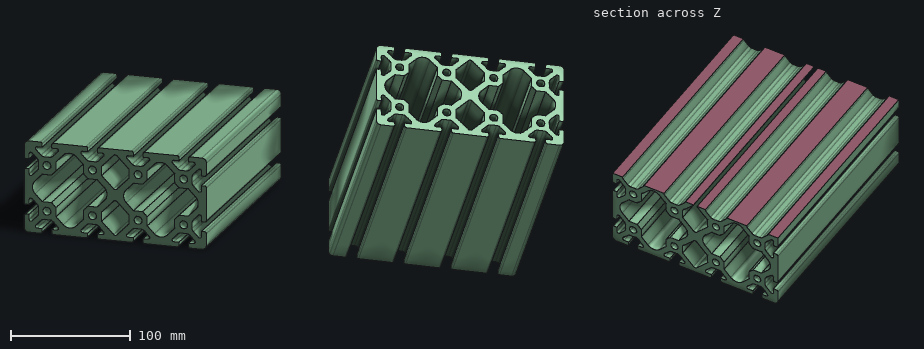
import cadquery as cq
import math

WIDTH = 160.0
LENGTH = 200.0
HEIGHT = 80.0
CORNER_RADIUS = 4.0

PITCH = 40.0
COLUMNS = 4
ROWS = 2
BORE_DIAMETER = 6.8

MOUTH_HALF_WIDTH = 4.2
LIP_THICKNESS = 4.5
SLOT_DEPTH = 12.5
FLOOR_HALF_WIDTH = 4.0
LIP_RADIUS = 1.5
UNDERCUT_RADIUS = 1.5
FLOOR_RADIUS = 4.0
CUT_MARGIN = 2.0

CORE_HALF_WIDTH = 8.0
CORE_FLAT_HALF = 4.0

CAVITY_SPACING = 2 * PITCH
CAVITY_TIP_RADIUS = 8.0
DIAMOND_TIP_RADIUS = 2.0


def rounded_outline(corners):
    """Closed XZ outline through (x, z, radius) corners, each rounded by a tangent arc."""
    arcs = []
    for i, (x, z, radius) in enumerate(corners):
        corner = cq.Vector(x, z)
        before = (cq.Vector(*corners[i - 1][:2]) - corner).normalized()
        after = (cq.Vector(*corners[(i + 1) % len(corners)][:2]) - corner).normalized()
        half_angle = before.getAngle(after) / 2
        tangent_length = radius / math.tan(half_angle)
        apex_distance = radius / math.sin(half_angle) - radius
        arcs.append((
            radius,
            corner + before * tangent_length,
            corner + (before + after).normalized() * apex_distance,
            corner + after * tangent_length,
        ))

    outline = cq.Workplane("XZ").moveTo(*arcs[0][3].toTuple()[:2])
    for radius, start, middle, end in arcs[1:] + arcs[:1]:
        outline = outline.lineTo(*start.toTuple()[:2])
        if radius > 0:
            outline = outline.threePointArc(middle.toTuple()[:2], end.toTuple()[:2])
    return outline.close()


def extrude_along_y(outline):
    return outline.extrude(LENGTH / 2, both=True)


def grid_positions(count, spacing=PITCH):
    return [(i - (count - 1) / 2) * spacing for i in range(count)]


def make_slot():
    """T-slot cutter with its mouth on Z = 0 and its floor below."""
    undercut_half_width = FLOOR_HALF_WIDTH + SLOT_DEPTH - LIP_THICKNESS
    outer_half_width = MOUTH_HALF_WIDTH + LIP_RADIUS + CUT_MARGIN
    right_side = [
        (outer_half_width, CUT_MARGIN, 0),
        (outer_half_width, 0, 0),
        (MOUTH_HALF_WIDTH, 0, LIP_RADIUS),
        (MOUTH_HALF_WIDTH, -LIP_THICKNESS, 0),
        (undercut_half_width, -LIP_THICKNESS, UNDERCUT_RADIUS),
        (FLOOR_HALF_WIDTH, -SLOT_DEPTH, FLOOR_RADIUS),
    ]
    left_side = [(-x, z, radius) for x, z, radius in reversed(right_side)]
    return extrude_along_y(rounded_outline(right_side + left_side))


def make_cross_cavity():
    """Cavity between four bores: four pointed arms with rounded tips."""
    arm_half_width = PITCH / 2 - CORE_HALF_WIDTH
    arm_root = PITCH / 2 - CORE_FLAT_HALF
    arm_shoulder = PITCH / 2 + CORE_FLAT_HALF
    arm_tip = arm_shoulder + arm_half_width
    arm = [
        (arm_root, -arm_half_width, 0),
        (arm_shoulder, -arm_half_width, 0),
        (arm_tip, 0, CAVITY_TIP_RADIUS),
        (arm_shoulder, arm_half_width, 0),
        (arm_root, arm_half_width, 0),
    ]
    corners = []
    for cos_turn, sin_turn in [(1, 0), (0, 1), (-1, 0), (0, -1)]:
        for x, z, radius in arm:
            turned_x = x * cos_turn - z * sin_turn
            turned_z = x * sin_turn + z * cos_turn
            corners.append((turned_x, turned_z, radius))
    return extrude_along_y(rounded_outline(corners))


def make_diamond_cavity():
    """Cavity between two neighbouring bores of the middle columns."""
    half_width = PITCH / 2 - CORE_HALF_WIDTH
    half_height = half_width + CORE_FLAT_HALF
    return extrude_along_y(rounded_outline([
        (half_width, -CORE_FLAT_HALF, 0),
        (half_width, CORE_FLAT_HALF, 0),
        (0, half_height, DIAMOND_TIP_RADIUS),
        (-half_width, CORE_FLAT_HALF, 0),
        (-half_width, -CORE_FLAT_HALF, 0),
        (0, -half_height, DIAMOND_TIP_RADIUS),
    ]))


def turn_about_y(shape, angle):
    return shape.rotate((0, 0, 0), (0, 1, 0), angle)


columns = grid_positions(COLUMNS)
rows = grid_positions(ROWS)

result = cq.Workplane("XY").box(WIDTH, LENGTH, HEIGHT).edges("|Y").fillet(CORNER_RADIUS)

slot = make_slot()
for x in columns:
    result = result.cut(slot.translate((x, 0, HEIGHT / 2)))
    result = result.cut(turn_about_y(slot, 180).translate((x, 0, -HEIGHT / 2)))

for z in rows:
    result = result.cut(turn_about_y(slot, 90).translate((WIDTH / 2, 0, z)))
    result = result.cut(turn_about_y(slot, -90).translate((-WIDTH / 2, 0, z)))

for x in grid_positions(2, CAVITY_SPACING):
    result = result.cut(make_cross_cavity().translate((x, 0, 0)))

for z in rows:
    result = result.cut(make_diamond_cavity().translate((0, 0, z)))

bore_centres = [(x, z) for x in columns for z in rows]
bores = cq.Workplane("XZ").pushPoints(bore_centres).circle(BORE_DIAMETER / 2)
result = result.cut(extrude_along_y(bores))